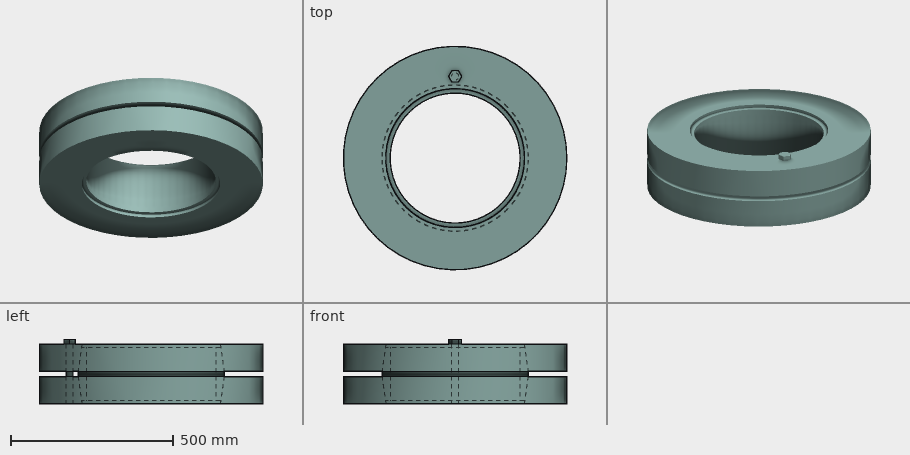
import cadquery as cq

flange_diameter = 690.0
flange_thickness = 84.0
flange_gap = 16.0

bore_diameter = 400.0
ring_middle_diameter = 452.5
flange_mouth_diameter = 427.0
ring_recess = 10.5

bolt_offset = 252.0
bolt_diameter = 22.0
head_corner_width = 41.0
head_height = 14.5
head_top_diameter = 36.0
head_bevel_height = 1.0

half_gap = flange_gap / 2
half_height = half_gap + flange_thickness
cone_slope = (ring_middle_diameter - flange_mouth_diameter) / 2 / half_height


def make_double_cone(end_height):
    """Solid double cone, widest at mid-height, cut off flat at end_height above and below it."""
    middle_radius = ring_middle_diameter / 2
    end_radius = middle_radius - end_height * cone_slope
    return (
        cq.Workplane("XZ")
        .moveTo(0, -end_height)
        .lineTo(end_radius, -end_height)
        .lineTo(middle_radius, 0)
        .lineTo(end_radius, end_height)
        .lineTo(0, end_height)
        .close()
        .revolve(360, (0, 0, 0), (0, 1, 0))
    )


def make_inner_ring():
    """Double-cone ring with a straight bore, recessed below the outer flange faces."""
    bore = cq.Workplane("XY").circle(bore_diameter / 2).extrude(half_height, both=True)
    return make_double_cone(half_height - ring_recess).cut(bore)


def make_shank():
    """Bolt shank spanning both flanges."""
    return (
        cq.Workplane("XY", origin=(0, bolt_offset, -half_height))
        .circle(bolt_diameter / 2)
        .extrude(2 * half_height)
    )


def make_flange(bottom_z):
    """Flange with a tapered bore fitting the cone and a hole for the bolt."""
    body = cq.Workplane("XY", origin=(0, 0, bottom_z)).circle(flange_diameter / 2).extrude(flange_thickness)
    return body.cut(make_double_cone(half_height)).cut(make_shank())


def make_bolt():
    """Hexagon-head bolt reaching through both flanges."""
    head = (
        cq.Workplane("XY", origin=(0, bolt_offset, half_height))
        .polygon(6, head_corner_width)
        .extrude(head_height)
    )
    bevel_width = (head_corner_width - head_top_diameter) / 2
    bevel_envelope = (
        cq.Workplane("XY", origin=(0, bolt_offset, half_height))
        .circle(head_corner_width / 2)
        .extrude(head_height)
        .faces(">Z")
        .chamfer(head_bevel_height, bevel_width)
    )
    return head.intersect(bevel_envelope).union(make_shank())


lower_flange = make_flange(-half_height)
upper_flange = make_flange(half_gap)
inner_ring = make_inner_ring()
bolt = make_bolt()

result = cq.Compound.makeCompound(
    [lower_flange.val(), upper_flange.val(), inner_ring.val(), bolt.val()]
)